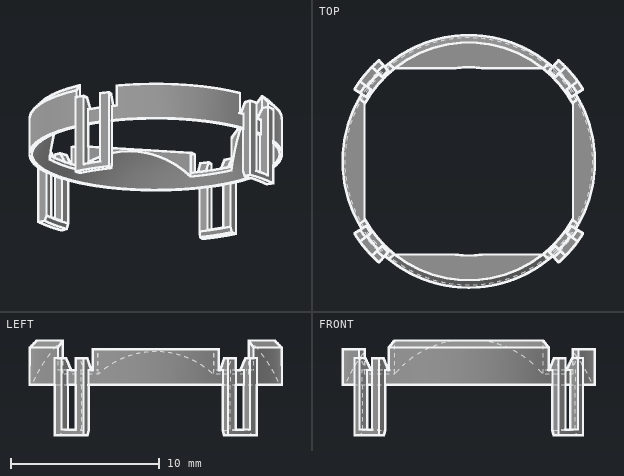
import cadquery as cq

ring_radius = 8.5
bore_radius = 8.0
ring_height = 1.0

side_lobe_height = 2.4
side_flat_distance = 7.0
end_lobe_height = 3.0
end_flat_distance = 6.25
lobe_chamfer = 0.5

clip_angle = 40.3
gap_width = 3.06

clip_outer_radius = 9.1
clip_inner_radius = 8.45
clip_half_angle = 8.1
window_half_angle = 4.0
clip_top = 1.8
clip_bottom = -3.4
crossbar_height = 0.4
foot_chamfer_width = 0.15
foot_chamfer_height = 0.35
hook_tip_radius = 8.15
hook_top_radius = 8.62

dome_radius = 9.0
dome_center_z = clip_bottom

cut_overrun = 1.0

clip_directions = [clip_angle, 180 - clip_angle, 180 + clip_angle, 360 - clip_angle]


def make_lobed_ring():
    """Round body with a tall chamfered lobe at each Y end and a lower lobe at each X side."""
    diameter = 2 * ring_radius
    body = cq.Workplane("XY").circle(ring_radius).extrude(end_lobe_height)
    body = body.faces(">Z").chamfer(lobe_chamfer)

    opening = cq.Workplane("XY").rect(2 * side_flat_distance, 2 * end_flat_distance).extrude(end_lobe_height)
    bore = cq.Workplane("XY").circle(bore_radius).extrude(end_lobe_height)
    body = body.cut(opening.intersect(bore))

    side_relief = (
        cq.Workplane("XY")
        .workplane(offset=side_lobe_height)
        .rect(diameter, 2 * end_flat_distance)
        .extrude(end_lobe_height - side_lobe_height)
    )
    return body.cut(side_relief)


def cut_gaps(body):
    """Cut the ring down to its low height across each clip."""
    for direction in clip_directions:
        gap = (
            cq.Workplane("XY")
            .box(2 * ring_radius, gap_width, end_lobe_height, centered=(False, True, False))
            .translate((0, 0, ring_height))
            .rotate((0, 0, 0), (0, 0, 1), direction)
        )
        body = body.cut(gap)
    return body


def cut_dome(body):
    """Hollow the underside with a sphere."""
    return body.cut(cq.Workplane("XY").sphere(dome_radius).translate((0, 0, dome_center_z)))


def revolve_sector(profile, start_angle, end_angle):
    """Sweep a (radius, z) profile around Z between two angles in degrees."""
    sector = cq.Workplane("XZ").polyline(profile).close()
    sector = sector.revolve(end_angle - start_angle, (0, 0, 0), (0, 1, 0))
    return sector.rotate((0, 0, 0), (0, 0, 1), start_angle)


def make_clip():
    """One clip centred on the +X axis."""
    frame_profile = [
        (clip_outer_radius, clip_top),
        (hook_top_radius, clip_top),
        (hook_tip_radius, ring_height),
        (clip_inner_radius, ring_height),
        (clip_inner_radius, clip_bottom + foot_chamfer_height),
        (clip_inner_radius + foot_chamfer_width, clip_bottom),
        (clip_outer_radius, clip_bottom),
    ]
    window_bottom = clip_bottom + crossbar_height
    window_outer_radius = clip_outer_radius + cut_overrun
    window_profile = [
        (bore_radius, window_bottom),
        (window_outer_radius, window_bottom),
        (window_outer_radius, clip_top),
        (bore_radius, clip_top),
    ]
    frame = revolve_sector(frame_profile, -clip_half_angle, clip_half_angle)
    return frame.cut(revolve_sector(window_profile, -window_half_angle, window_half_angle))


result = cut_dome(cut_gaps(make_lobed_ring()))
for direction in clip_directions:
    result = result.union(make_clip().rotate((0, 0, 0), (0, 0, 1), direction))